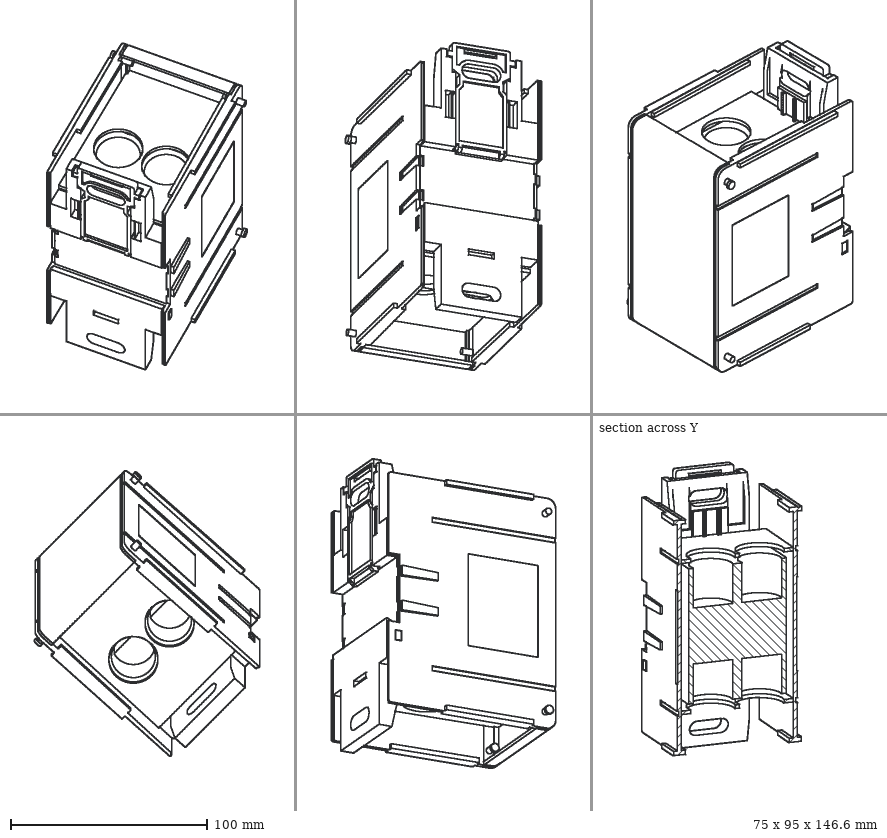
import cadquery as cq


depth = 95.0
wall_half_height = 62.4
wall_outer_x = 33.2
wall_inner_front_x = 30.1
wall_inner_back_x = 31.3
front_corner_radius = 5.0
back_corner_radius = 1.5

wall_overlap = 0.5

block_depth = 10.15
block_half_height = 37.95
notch_half_height = 18.4
notch_depth = 6.35
notch_top_z = 17.6
rail_face_y = 5.7
hook_tip_z = -16.2
hook_root_y = 4.2
seam_inner_x = 31.1
seam_outer_x = 32.2
seam_depth = 0.8

tab_half_width = 22.15
tab_end_z = 71.15
tab_end_depth = 7.3
tab_taper_start_z = 58.5
tab_slot_z = 60.9
tab_slot_length = 21.2
tab_slot_height = 7.8
tool_slot_width = 14.0
tool_slot_height = 3.2
tool_slot_z = -39.6
tool_slot_depth = 3.0
side_pocket_outer_x = 19.6
side_pocket_bottom_z = 33.3
side_pocket_top_z = 48.1
side_pocket_depth = 5.0
guide_rib_inner_x = 15.4
guide_rib_outer_x = 16.1
guide_rib_face_y = 1.0
spring_recess_half_width = 19.5
spring_recess_y = 8.3
spring_recess_bottom_z = 45.0
spring_post_half_width = 10.3
spring_seat_half_width = 9.6
spring_seat_face_y = 12.0
spring_seat_bottom_z = 41.7
spring_seat_top_z = 55.0
hook_x = 3.4
hook_height_y = 2.0
hook_reach = 1.5
hook_thickness = 0.6

strip_thickness = 2.5
strip_front_y = 81.5
short_strip_back_y = 32.0
long_strip_back_y = 13.2
long_strip_drop = 0.25
strip_outer_x = 35.35
strip_outer_flare = 0.5
strip_inner_reach = 2.2

groove_z = 40.3
groove_height = 2.5
groove_depth = 0.8
groove_back_y = 24.9
label_width = 39.7
label_height = 49.8
label_y = 65.1
label_z = 0.15
label_corner = 0.6
label_recess = 0.2
socket_z = 9.5
socket_front_y = 28.6
socket_tip_height = 4.1
socket_mouth_height = 5.6
socket_depth = 1.2
socket_end_step = 0.6
socket_end_length = 1.1
socket_mouth_inner_x = 29.5
socket_mouth_end_y = 7.2
tongue_front_y = 27.6
tongue_back_y = 7.0
tongue_tip_x = 34.3
tongue_base_x = 34.95
key_z = -25.7
key_height = 5.2
key_width = 3.2
key_y = 5.5
key_projection = 0.6
key_clearance = 0.4

cover_half_width = 31.3
cover_thickness = 1.9
cover_face_half_width = 30.1
cover_edge_drop = 0.25
cover_lip_back_y = 85.3
cover_flange_inner_x = 29.2
cover_flange_back_y = 90.8

plate_thickness = 2.1
plate_z = 40.05
cable_x = 13.45
cable_y = 44.7
plate_hole_diameter = 25.0
bore_diameter = 22.4
terminal_half_height = 36.0
shelf_half_height = 15.0
shelf_edge_y = 48.2
terminal_half_width = 27.0
terminal_front_y = 59.0

pin_z = 53.75
pin_center_x = 31.5
pin_length = 12.05
pin_radius = 1.65
pin_y = 88.85
pin_head_radius = 2.2
pin_head_thickness = 1.5

slider_thickness = 4.3
slider_top_z = 75.4
slider_head_half_width = 16.0
slider_head_bottom_z = 58.9
slider_head_corner = 1.5
slider_half_width = 14.05
slider_shoulder_z = 19.4
slider_tip_z = 15.6
slider_tip_half_width = 12.6
slider_tip_relief_half_width = 10.45
slider_tip_relief_top_z = 19.0
slider_tip_bevel = 2.0
ear_half_width = 18.5
ear_bottom_z = 67.5
ear_top_z = 70.5
head_slope_top_z = 60.6
waist_half_width = 11.95
waist_top_z = 57.9
waist_bottom_z = 52.7
waist_slope_end_z = 50.6
ear_clearance = 0.6
face_pocket_depth = 1.2
face_rim = 1.95
grip_pocket_side_rim = 0.5
window_width = 17.8
window_bottom_z = 70.9
window_top_z = 73.0
grip_pocket_bottom_z = 63.4
grip_rim_height = 12.0
panel_pocket_top_z = 54.8
panel_pocket_shoulder_z = 52.2
panel_pocket_corner_z = 49.6
panel_pocket_bottom_z = 21.3
panel_pocket_top_half_width = 9.9


def box(x0, x1, y0, y1, z0, z1):
    """Axis-aligned block between two opposite corners, given in any order."""
    size = (abs(x1 - x0), abs(y1 - y0), abs(z1 - z0))
    center = ((x0 + x1) / 2, (y0 + y1) / 2, (z0 + z1) / 2)
    return cq.Workplane("XY").box(*size).translate(center)


def plan_prism(points, z0, z1):
    """Outline in the XY plane, raised from z0 to z1."""
    return cq.Workplane("XY").workplane(offset=z0).polyline(points).close().extrude(z1 - z0)


def side_prism(points, x0, x1):
    """Outline in the YZ plane, carried from x0 to x1."""
    return cq.Workplane("YZ").workplane(offset=x0).polyline(points).close().extrude(x1 - x0)


def slot_along_x(length, height, z, y0, y1):
    """Round-ended slot lying along X that runs from y0 to y1."""
    slot = cq.Workplane("XZ").slot2D(length, height).extrude(y0 - y1)
    return slot.translate((0, y0, z))


def wall_inner_x(y):
    """Half-width of the space between the drafted side walls."""
    return wall_inner_back_x + (wall_inner_front_x - wall_inner_back_x) * y / depth



def side_wall(side):
    outline = [
        (side * wall_outer_x, 0),
        (side * wall_outer_x, depth),
        (side * wall_inner_front_x, depth),
        (side * wall_inner_back_x, 0),
    ]
    wall = plan_prism(outline, -wall_half_height, wall_half_height)
    wall = wall.edges("|X and >Y").fillet(front_corner_radius)
    wall = wall.edges("|X and <Y").fillet(back_corner_radius)
    rail_notch = box(
        side * wall_inner_front_x, side * wall_outer_x, 0, notch_depth, -notch_half_height, notch_half_height
    )
    return wall.cut(rail_notch)


def edge_strip(side, level, outward):
    """Strip inside or outside one wall edge; the left outer and right inner top strips are long."""
    is_long = level > 0 and (side < 0) == outward
    back_y = long_strip_back_y if is_long else short_strip_back_y
    drop = long_strip_drop if is_long else 0
    flare = strip_outer_flare if is_long else 0
    if outward:
        root_front = root_back = wall_outer_x - wall_overlap
        tip_front = strip_outer_x
        tip_back = strip_outer_x + flare
    else:
        root_front = wall_inner_x(strip_front_y) + wall_overlap
        root_back = wall_inner_x(back_y) + wall_overlap
        tip_front = wall_inner_x(strip_front_y) - strip_inner_reach
        tip_back = wall_inner_x(back_y) - strip_inner_reach
    outline = [
        (side * root_front, strip_front_y),
        (side * tip_front, strip_front_y),
        (side * tip_back, back_y),
        (side * root_back, back_y),
    ]
    outer_z = wall_half_height - drop
    inner_z = wall_half_height - strip_thickness
    z0, z1 = sorted((level * inner_z, level * outer_z))
    return plan_prism(outline, z0, z1)


def mounting_block():
    """Back of the housing with the rail notch and its fixed lower hook."""
    outline = [
        (0, block_half_height),
        (block_depth, block_half_height),
        (block_depth, -block_half_height),
        (0, -block_half_height),
        (0, hook_tip_z),
        (hook_root_y, -notch_half_height),
        (rail_face_y, -notch_half_height),
        (rail_face_y, notch_top_z),
        (0, notch_top_z),
    ]
    return side_prism(outline, -wall_inner_back_x, wall_inner_back_x)


def mounting_tab(level):
    root_z = level * (block_half_height - block_depth)
    outline = [
        (0, root_z),
        (0, level * tab_end_z),
        (tab_end_depth, level * tab_end_z),
        (block_depth, level * tab_taper_start_z),
        (block_depth, root_z),
    ]
    tab = side_prism(outline, -tab_half_width, tab_half_width)
    return tab.cut(slot_along_x(tab_slot_length, tab_slot_height, level * tab_slot_z, 0, block_depth))


def spring_recesses():
    """Shallow recesses in the rear of the upper tab, on both sides of a central post."""
    recesses = cq.Workplane("XY")
    for side in (-1, 1):
        recesses = recesses.union(box(
            side * spring_post_half_width, side * spring_recess_half_width,
            spring_recess_y, block_depth, spring_recess_bottom_z, tab_end_z,
        ))
    return recesses


def spring_seat():
    """Seat and pair of hooks behind the upper tab."""
    z0 = spring_seat_bottom_z
    z1 = spring_seat_top_z
    seat = box(
        -spring_seat_half_width, spring_seat_half_width, block_depth, spring_seat_face_y, z0, z1
    )
    hook_top_y = spring_seat_face_y + hook_height_y
    for side in (-1, 1):
        stem_end = side * (hook_x + hook_thickness)
        stem = box(side * hook_x, stem_end, spring_seat_face_y - hook_thickness, hook_top_y, z0, z1)
        tip_end = side * (hook_x + hook_reach)
        tip = box(side * hook_x, tip_end, hook_top_y - hook_thickness, hook_top_y, z0, z1)
        seat = seat.union(stem).union(tip)
    return seat


def socket_outline(level):
    """Tapered outline in Y and Z shared by the side sockets and tongues."""
    z = level * socket_z
    return [
        (0, z - socket_mouth_height / 2),
        (socket_front_y, z - socket_tip_height / 2),
        (socket_front_y, z + socket_tip_height / 2),
        (0, z + socket_mouth_height / 2),
    ]


def side_tongue(level):
    plan = [
        (wall_inner_front_x, tongue_back_y),
        (tongue_base_x, tongue_back_y),
        (tongue_tip_x, tongue_front_y),
        (wall_inner_front_x, tongue_front_y),
    ]
    prism = plan_prism(plan, -wall_half_height, wall_half_height)
    return prism.intersect(side_prism(socket_outline(level), wall_inner_front_x, tongue_base_x))


def build_housing():
    housing = mounting_block()
    for level in (-1, 1):
        housing = housing.union(mounting_tab(level))
    for side in (-1, 1):
        housing = housing.union(side_wall(side))
        for level in (-1, 1):
            for outward in (True, False):
                housing = housing.union(edge_strip(side, level, outward))
    housing = housing.cut(spring_recesses()).union(spring_seat())

    for side in (-1, 1):
        for level in (-1, 1):
            housing = housing.cut(box(
                side * seam_inner_x, side * seam_outer_x, 0, seam_depth,
                level * notch_half_height, level * wall_half_height,
            ))

    for level in (-1, 1):
        z0 = level * socket_z - socket_mouth_height / 2
        z1 = level * socket_z + socket_mouth_height / 2
        socket_floor_x = socket_depth - wall_outer_x
        socket = side_prism(socket_outline(level), -wall_outer_x, socket_floor_x)
        end_step = box(
            socket_floor_x - socket_end_step, socket_floor_x,
            socket_front_y - socket_end_length, socket_front_y, z0, z1,
        )
        mouth = box(-seam_inner_x, -socket_mouth_inner_x, 0, socket_mouth_end_y, z0, z1)
        tongue_root = box(seam_inner_x, seam_outer_x, rail_face_y, tongue_back_y, z0, z1)
        housing = housing.cut(socket.cut(end_step)).cut(mouth)
        housing = housing.union(tongue_root).union(side_tongue(level))

    key = box(
        wall_outer_x - wall_overlap, wall_outer_x + key_projection,
        key_y - key_width / 2, key_y + key_width / 2, key_z - key_height / 2, key_z + key_height / 2,
    )
    recess_half_width = key_width / 2 + key_clearance
    recess_half_height = key_height / 2 + 2 * key_clearance
    recess = box(
        -wall_outer_x, -wall_outer_x + key_projection + key_clearance,
        key_y - recess_half_width, key_y + recess_half_width,
        key_z - recess_half_height, key_z + recess_half_height,
    )
    housing = housing.union(key).cut(recess)

    for side in (-1, 1):
        for level in (-1, 1):
            housing = housing.cut(box(
                side * (wall_outer_x - groove_depth), side * wall_outer_x, groove_back_y, depth,
                level * groove_z - groove_height / 2, level * groove_z + groove_height / 2,
            ))
        label = cq.Workplane("XY").box(label_recess, label_width, label_height)
        label = label.edges("|X").fillet(label_corner)
        housing = housing.cut(label.translate((side * (wall_outer_x - label_recess / 2), label_y, label_z)))

    for side in (-1, 1):
        housing = housing.cut(box(
            side * slider_half_width, side * side_pocket_outer_x, 0, side_pocket_depth,
            side_pocket_bottom_z, side_pocket_top_z,
        ))
        housing = housing.union(box(
            side * guide_rib_inner_x, side * guide_rib_outer_x, guide_rib_face_y, side_pocket_depth,
            side_pocket_bottom_z, side_pocket_top_z,
        ))
    housing = housing.cut(box(
        -tool_slot_width / 2, tool_slot_width / 2, 0, tool_slot_depth,
        tool_slot_z - tool_slot_height / 2, tool_slot_z + tool_slot_height / 2,
    ))
    return housing.cut(slider_channel())



def slider_channel():
    """Space in the upper tab that guides the slider."""
    stem = box(
        -slider_half_width, slider_half_width, 0, slider_thickness, slider_tip_z, slider_top_z
    )
    head = box(
        -slider_head_half_width, slider_head_half_width, 0, slider_thickness,
        slider_head_bottom_z, slider_top_z,
    )
    ear_pocket_half_width = ear_half_width + ear_clearance
    ears = box(
        -ear_pocket_half_width, ear_pocket_half_width, 0, slider_thickness,
        ear_bottom_z - ear_clearance, slider_top_z,
    )
    return stem.union(head).union(ears)


def slider_grip_pocket():
    """Recess around the finger window, bounded below by the rim of the slot."""
    half_width = slider_half_width - grip_pocket_side_rim
    pocket = box(
        -half_width, half_width, 0, face_pocket_depth,
        grip_pocket_bottom_z, slider_top_z - face_rim,
    )
    rim_length = tab_slot_length + 2 * face_rim
    return pocket.cut(slot_along_x(rim_length, grip_rim_height, tab_slot_z, 0, face_pocket_depth))


def slider_panel_pocket():
    half_width = slider_half_width - face_rim
    right_side = [
        (panel_pocket_top_half_width, panel_pocket_top_z),
        (panel_pocket_top_half_width, panel_pocket_shoulder_z),
        (half_width, panel_pocket_corner_z),
        (half_width, panel_pocket_bottom_z),
    ]
    left_side = [(-x, z) for x, z in reversed(right_side)]
    return cq.Workplane("XZ").polyline(right_side + left_side).close().extrude(-face_pocket_depth)


def slider_waist_notch(side):
    """Notch in the slider edge below the head, sloped at both ends."""
    outline = [
        (side * slider_head_half_width, head_slope_top_z),
        (side * waist_half_width, waist_top_z),
        (side * waist_half_width, waist_bottom_z),
        (side * slider_half_width, waist_slope_end_z),
        (side * slider_head_half_width, waist_slope_end_z),
    ]
    return cq.Workplane("XZ").polyline(outline).close().extrude(-slider_thickness)


def build_slider():
    head = box(
        -slider_head_half_width, slider_head_half_width, 0, slider_thickness,
        slider_head_bottom_z, slider_top_z,
    )
    head = head.edges("|Y and >Z").fillet(slider_head_corner)
    ears = box(-ear_half_width, ear_half_width, 0, slider_thickness, ear_bottom_z, ear_top_z)
    stem = box(
        -slider_half_width, slider_half_width, 0, slider_thickness, slider_shoulder_z, slider_head_bottom_z
    )
    tip = box(
        -slider_tip_half_width, slider_tip_half_width, 0, slider_thickness, slider_tip_z, slider_shoulder_z
    )
    tip = tip.edges("|X and <Z and <Y").chamfer(slider_tip_bevel)
    slider = head.union(ears).union(stem).union(tip)

    for side in (-1, 1):
        slider = slider.cut(slider_waist_notch(side))
    slider = slider.cut(box(
        -slider_tip_relief_half_width, slider_tip_relief_half_width, 0, slider_tip_bevel,
        slider_tip_z, slider_tip_relief_top_z,
    ))
    slider = slider.cut(slider_grip_pocket()).cut(slider_panel_pocket())
    slider = slider.cut(slot_along_x(tab_slot_length, tab_slot_height, tab_slot_z, 0, slider_thickness))
    window = box(
        -window_width / 2, window_width / 2, 0, slider_thickness, window_bottom_z, window_top_z
    )
    return slider.cut(window)



def cover_outline(half_width, drop):
    """Outer form of the bent front sheet, lowered from the outermost surface by the drop."""
    half_height = wall_half_height - drop
    form = box(-half_width, half_width, cover_lip_back_y, depth - drop, -half_height, half_height)
    return form.edges("|X and >Y").fillet(front_corner_radius - drop)


def build_cover():
    """Front sheet bent inward along its top and bottom edges, with a flange at each side."""
    sheet = cover_outline(cover_face_half_width, 0).union(cover_outline(cover_half_width, cover_edge_drop))
    inside_z = wall_half_height - cover_thickness
    inside = box(
        -cover_half_width, cover_half_width, cover_lip_back_y, depth - cover_thickness, -inside_z, inside_z
    )
    inside = inside.edges("|X and >Y").fillet(front_corner_radius - cover_thickness)
    cover = sheet.cut(inside)
    for side in (-1, 1):
        flange = box(
            side * cover_flange_inner_x, side * wall_inner_front_x, cover_flange_back_y,
            depth - cover_thickness / 2, -inside_z, inside_z,
        )
        cover = cover.union(flange.intersect(inside))
    return cover



def cable_holes(diameter, z0, z1):
    centers = [(-cable_x, cable_y), (cable_x, cable_y)]
    return cq.Workplane("XY").workplane(offset=z0).pushPoints(centers).circle(diameter / 2).extrude(z1 - z0)


def build_plate(level):
    """Separator across the housing, reaching from the mounting block to the cover."""
    front_y = depth - cover_thickness
    front_x = cover_flange_inner_x
    flange_x = wall_inner_x(cover_flange_back_y)
    back_x = wall_inner_x(block_depth)
    right_side = [
        (back_x, block_depth),
        (flange_x, cover_flange_back_y),
        (front_x, cover_flange_back_y),
        (front_x, front_y),
    ]
    left_side = [(-x, y) for x, y in reversed(right_side)]
    z0 = level * plate_z - plate_thickness / 2
    z1 = z0 + plate_thickness
    plate = plan_prism(right_side + left_side, z0, z1)
    return plate.cut(cable_holes(plate_hole_diameter, z0, z1))


def build_terminal_block():
    """Block with a bore for each cable; a shelf at mid-height fills the rear part of each bore."""
    half_height = terminal_half_height
    block = box(
        -terminal_half_width, terminal_half_width, block_depth, terminal_front_y, -half_height, half_height
    )
    shelf = box(
        -terminal_half_width, terminal_half_width, block_depth, shelf_edge_y,
        -shelf_half_height, shelf_half_height,
    )
    return block.cut(cable_holes(bore_diameter, -half_height, half_height).cut(shelf))



def build_pin(side, level):
    """Pin through a side wall; its head is outside at two opposite corners and inside at the others."""
    outer_x = side * (pin_center_x + pin_length / 2)
    inner_x = side * (pin_center_x - pin_length / 2)
    head_outside = side * level < 0
    start_x = min(outer_x, inner_x)
    shaft = cq.Workplane("YZ").workplane(offset=start_x).center(pin_y, level * pin_z)
    shaft = shaft.circle(pin_radius).extrude(pin_length)
    head_end_x = outer_x if head_outside else inner_x
    head_start_x = start_x if head_end_x == start_x else head_end_x - pin_head_thickness
    head_y = pin_y + pin_head_radius - pin_radius
    head = cq.Workplane("YZ").workplane(offset=head_start_x).center(head_y, level * pin_z)
    return shaft.union(head.circle(pin_head_radius).extrude(pin_head_thickness))



slider = build_slider()
plates = [build_plate(level) for level in (-1, 1)]
terminal_block = build_terminal_block()
pins = [build_pin(side, level) for side in (-1, 1) for level in (-1, 1)]

cover = build_cover()
housing = build_housing().cut(cover_outline(cover_half_width, 0))
for pin in pins:
    cover = cover.cut(pin)
    housing = housing.cut(pin)

bodies = [housing, cover, slider, terminal_block] + plates + pins
result = cq.Compound.makeCompound([body.val() for body in bodies])